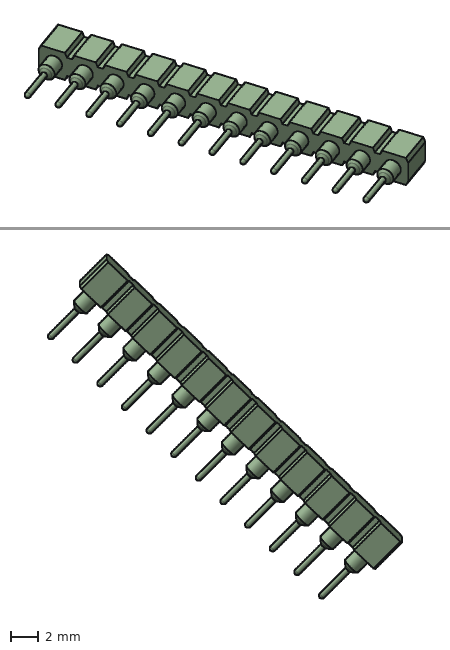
import cadquery as cq
import math

length = 30.48
pin_count = 12
pitch = length / pin_count
height = 2.53
overall_depth = 7.38
housing_depth = 2.83

notch_depth = 0.4
notch_mouth = 0.73
notch_floor = 0.43

end_bevel_x = 0.18
end_bevel_z = 0.4

sleeve_radius = 0.67
sleeve_length = 1.22
bevel_length = 0.18
neck_radius = sleeve_radius - bevel_length
neck_length = 0.18
lead_radius = 0.235

back_y = overall_depth / 2
front_y = back_y - housing_depth
tip_y = -overall_depth / 2
half_length = length / 2
half_height = height / 2


def upper_outline():
    """Upper edge of the housing profile, from the left end to the right end."""
    notch_z = half_height - notch_depth
    bevel_z = half_height - end_bevel_z
    points = [(-half_length, bevel_z), (-half_length + end_bevel_x, half_height)]
    for i in range(1, pin_count):
        notch_x = -half_length + i * pitch
        points += [
            (notch_x - notch_mouth / 2, half_height),
            (notch_x - notch_floor / 2, notch_z),
            (notch_x + notch_floor / 2, notch_z),
            (notch_x + notch_mouth / 2, half_height),
        ]
    points += [(half_length - end_bevel_x, half_height), (half_length, bevel_z)]
    return points


def make_housing():
    upper = upper_outline()
    lower = [(x, -z) for x, z in reversed(upper)]
    profile = cq.Workplane("XZ", origin=(0, back_y, 0)).polyline(upper + lower).close()
    return profile.extrude(housing_depth)


def make_pin():
    """Pin turned about the Y axis, starting at the back of the housing."""
    sleeve_y = front_y - sleeve_length
    bevel_y = sleeve_y - bevel_length
    lead_y = bevel_y - neck_length
    dome_y = tip_y + lead_radius
    dome_middle = lead_radius * math.sqrt(0.5)
    half_profile = (
        cq.Workplane("XY")
        .moveTo(0, back_y)
        .lineTo(sleeve_radius, back_y)
        .lineTo(sleeve_radius, sleeve_y)
        .lineTo(neck_radius, bevel_y)
        .lineTo(lead_radius, lead_y)
        .lineTo(lead_radius, dome_y)
        .threePointArc((dome_middle, dome_y - dome_middle), (0, tip_y))
        .close()
    )
    return half_profile.revolve(360, (0, 0, 0), (0, 1, 0))


result = make_housing()
pin = make_pin()
for i in range(pin_count):
    pin_x = -half_length + (i + 0.5) * pitch
    result = result.union(pin.translate((pin_x, 0, 0)))